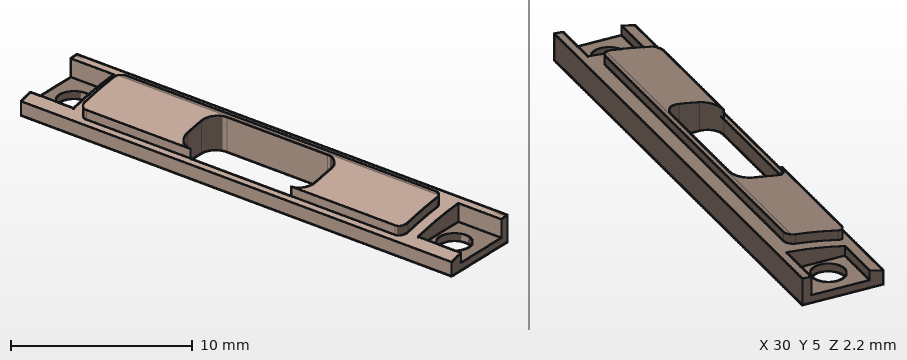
import cadquery as cq

LENGTH = 30.0
WIDTH = 5.0
BACK_HEIGHT = 1.7
FRONT_HEIGHT = 0.9
CROWN_RADIUS = 24.0
TOTAL_HEIGHT = 2.2

PAD_LENGTH = 22.5
PAD_BACK = 1.5
PAD_FRONT = -2.1
PAD_RISE = 0.6
PAD_CORNER_RADIUS = 0.5

WINDOW_LENGTH = 9.0
WINDOW_BACK = 1.15
WINDOW_CORNER_RADIUS = 1.0

RECESS_LENGTH = 3.0
RECESS_BACK = 1.95
RECESS_FRONT = -1.65
RECESS_FLOOR = 0.5
HOLE_DIAMETER = 2.0
HOLE_END_DISTANCE = 1.75


def block(length, front, back, bottom, top, center_x=0.0):
    """Box centred on center_x, spanning front..back in Y and bottom..top in Z."""
    return (
        cq.Workplane("XY", origin=(center_x, (front + back) / 2, bottom))
        .rect(length, back - front)
        .extrude(top - bottom)
    )


def crowned_bar(rise):
    """Full-length bar whose crowned top lies the given height above the plate top."""
    half_width = WIDTH / 2
    return (
        cq.Workplane("YZ", origin=(-LENGTH / 2, 0, 0))
        .moveTo(-half_width, 0)
        .lineTo(half_width, 0)
        .lineTo(half_width, BACK_HEIGHT + rise)
        .radiusArc((-half_width, FRONT_HEIGHT + rise), -CROWN_RADIUS)
        .close()
        .extrude(LENGTH)
    )


def raised_pad():
    """Rounded pad with a crowned top, limited to the total height."""
    outline = block(PAD_LENGTH, PAD_FRONT, PAD_BACK, 0, TOTAL_HEIGHT)
    return outline.edges("|Z").fillet(PAD_CORNER_RADIUS).intersect(crowned_bar(PAD_RISE))


def window():
    """Rounded rectangular opening through the full height."""
    opening = block(WINDOW_LENGTH, PAD_FRONT, WINDOW_BACK, 0, TOTAL_HEIGHT)
    return opening.edges("|Z").fillet(WINDOW_CORNER_RADIUS)


def screw_recess(side):
    """Flat-floored recess with a through hole; side is -1 for the left end, 1 for the right."""
    recess_x = side * (LENGTH - RECESS_LENGTH) / 2
    hole_x = side * (LENGTH / 2 - HOLE_END_DISTANCE)
    recess = block(RECESS_LENGTH, RECESS_FRONT, RECESS_BACK, RECESS_FLOOR, TOTAL_HEIGHT, recess_x)
    hole = cq.Workplane("XY").center(hole_x, 0).circle(HOLE_DIAMETER / 2).extrude(TOTAL_HEIGHT)
    return recess.union(hole)


result = crowned_bar(0).union(raised_pad()).cut(window())
for end in (-1, 1):
    result = result.cut(screw_recess(end))